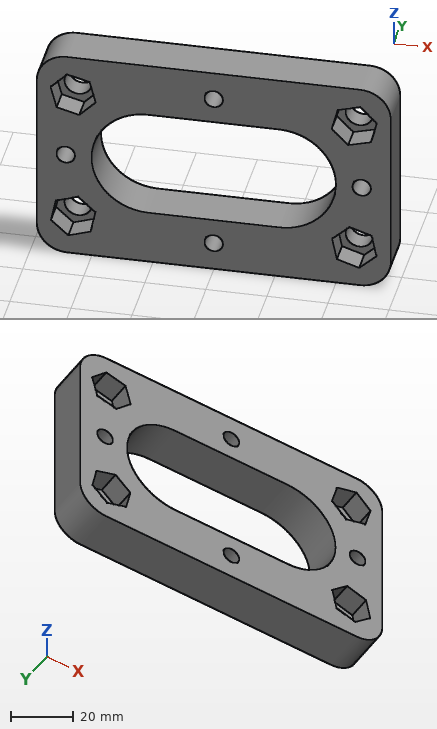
import cadquery as cq

length = 116.0
thickness = 15.0
height = 74.0
corner_radius = 10.0

window_length = 80.0
window_height = 37.0

small_hole_diameter = 6.0
side_hole_x = 48.5
edge_hole_z = 27.3

bolt_x = 46.0
bolt_z = 23.0
bolt_diameter = 9.0
nut_corner_diameter = 15.3
nut_depth = 8.0
upper_nut_tilt = 15.0
lower_nut_tilt = 18.0

front_y = -thickness / 2
back_y = thickness / 2


def front_plane(x=0, z=0):
    """Sketch plane on the front face, with local X along X and normal into the plate."""
    return cq.Plane(origin=(x, front_y, z), xDir=(1, 0, 0), normal=(0, 1, 0))


def make_plate():
    return cq.Workplane("XY").box(length, thickness, height).edges("|Y").fillet(corner_radius)


def make_window():
    return cq.Workplane(front_plane()).slot2D(window_length, window_height).extrude(thickness)


def make_small_holes():
    centres = [(-side_hole_x, 0), (side_hole_x, 0), (0, -edge_hole_z), (0, edge_hole_z)]
    return (
        cq.Workplane(front_plane())
        .pushPoints(centres)
        .circle(small_hole_diameter / 2)
        .extrude(thickness)
    )


def make_bolt_hole(side, level):
    """Through hole and nut pocket in one corner; side and level are +1 or -1."""
    x = side * bolt_x
    z = level * bolt_z
    nut_tilt = upper_nut_tilt if level > 0 else lower_nut_tilt
    hole = cq.Workplane(front_plane(x, z)).circle(bolt_diameter / 2).extrude(thickness)
    pocket = (
        cq.Workplane(front_plane(x, z))
        .polygon(6, nut_corner_diameter)
        .extrude(nut_depth)
        .rotate((x, front_y, z), (x, back_y, z), -side * level * nut_tilt)
    )
    return hole.union(pocket)


result = make_plate().cut(make_window()).cut(make_small_holes())
for side in (-1, 1):
    for level in (-1, 1):
        result = result.cut(make_bolt_hole(side, level))